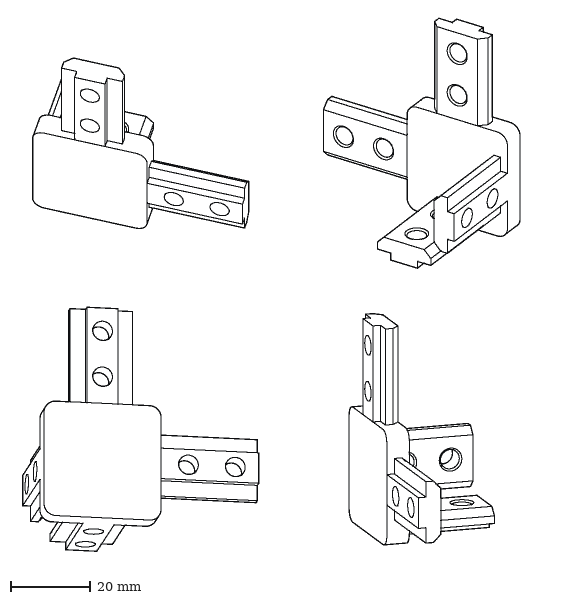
import cadquery as cq

overall = 55.0
arm_length = overall * 5 / 11
plate_size = overall - arm_length
plate_thickness = plate_size / 5
corner_radius = plate_thickness / 2

arm_depth = plate_thickness
step = arm_depth / 3
flange_width = 16.0
neck_width = 8.0
bevel = step

hole_diameter = 5.0
countersink_diameter = 6.0
countersink_angle = 90
hole_end_distance = plate_thickness
hole_pitch = 2 * plate_thickness

plate_center = plate_size / 2


def make_arm(root, direction, inward):
    """Arm from root, the middle of its outer edge, with its section depth towards inward."""
    across = inward.cross(direction)
    profile_plane = cq.Plane(origin=root, xDir=across, normal=direction)
    half_neck = neck_width / 2
    half_flange = flange_width / 2
    arm = (
        cq.Workplane(profile_plane)
        .moveTo(-half_neck, 0)
        .lineTo(-half_neck, step)
        .lineTo(-half_flange, step)
        .lineTo(-half_flange, arm_depth - bevel)
        .lineTo(bevel - half_flange, arm_depth)
        .lineTo(half_flange - bevel, arm_depth)
        .lineTo(half_flange, arm_depth - bevel)
        .lineTo(half_flange, step)
        .lineTo(half_neck, step)
        .lineTo(half_neck, 0)
        .close()
        .extrude(arm_length)
    )
    inner_face = cq.Plane(origin=root + inward * arm_depth, xDir=direction, normal=inward)
    outer_hole = arm_length - hole_end_distance
    return (
        cq.Workplane(inner_face)
        .add(arm)
        .pushPoints([(outer_hole, 0), (outer_hole - hole_pitch, 0)])
        .cskHole(hole_diameter, countersink_diameter, countersink_angle)
    )


x_axis = cq.Vector(1, 0, 0)
y_axis = cq.Vector(0, 1, 0)
z_axis = cq.Vector(0, 0, 1)

plate = (
    cq.Workplane("XY")
    .box(plate_size, plate_thickness, plate_size, centered=False)
    .edges("|Y")
    .fillet(corner_radius)
)
left_arm = make_arm(cq.Vector(0, plate_thickness, plate_center), y_axis, x_axis)
bottom_arm = make_arm(cq.Vector(plate_center, plate_thickness, 0), y_axis, z_axis)
corner = plate.union(left_arm).union(bottom_arm)

top_arm = make_arm(cq.Vector(plate_center, 0, plate_size), z_axis, y_axis)
right_arm = make_arm(cq.Vector(plate_size, 0, plate_center), x_axis, y_axis)

result = cq.Compound.makeCompound([corner.val(), top_arm.val(), right_arm.val()])